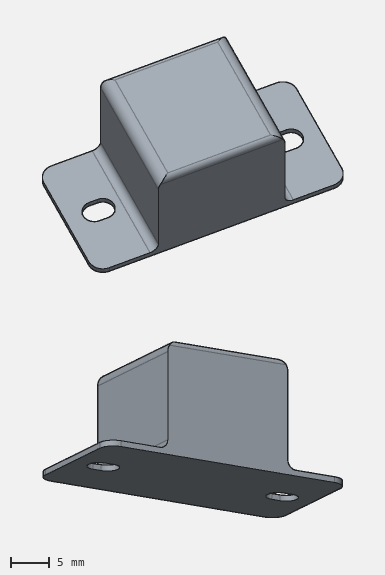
import cadquery as cq

length = 36.0
width = 18.0
height = 15.6
body_length = 18.0
flange_thickness = 0.8

end_edge_radius = 1.7
side_edge_radius = 0.8
foot_radius = 1.2
flange_corner_radius = 2.0

slot_width = 3.2
slot_length = 4.4
slot_offset = 13.4


def make_flange_plate():
    """Thin base plate with rounded corners."""
    plate = cq.Workplane("XY").box(width, length, flange_thickness, centered=(True, True, False))
    return plate.edges("|Z").fillet(flange_corner_radius)


def make_block():
    """Raised block whose unequal top roundings meet in mitred corners."""
    block = cq.Workplane("XY").box(width, body_length, height, centered=(True, True, False))
    end_rounded = block.edges("|X and >Z").fillet(end_edge_radius)
    side_rounded = block.edges("|Y and >Z").fillet(side_edge_radius)
    return end_rounded.intersect(side_rounded)


def make_foot_fillet(side):
    """Concave strip joining one end of the block to its flange; side is +1 or -1 in Y."""
    wall = side * body_length / 2
    outer = wall + side * foot_radius
    return (
        cq.Workplane("YZ", origin=(-width / 2, 0, 0))
        .moveTo(wall, flange_thickness)
        .lineTo(outer, flange_thickness)
        .radiusArc((wall, flange_thickness + foot_radius), side * foot_radius)
        .close()
        .extrude(width)
    )


result = make_flange_plate().union(make_block())
for side in (-1, 1):
    result = result.union(make_foot_fillet(side))

slots = (
    cq.Workplane("XY")
    .pushPoints([(0, -slot_offset), (0, slot_offset)])
    .slot2D(slot_length, slot_width, 90)
    .extrude(flange_thickness)
)
result = result.cut(slots)